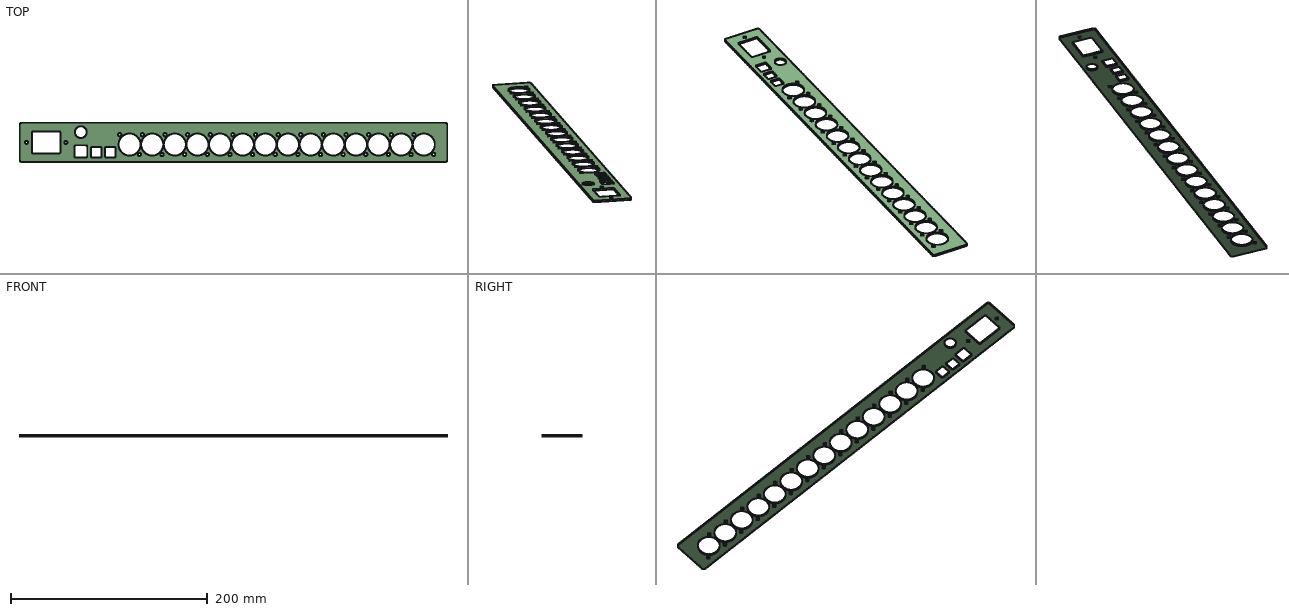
import cadquery as cq

plate_length = 435.0
plate_width = 40.0
plate_thickness = 2.0
corner_radius = 2.0
opening_radius = corner_radius / 2
left_edge = -plate_length / 2

connector_count = 14
connector_diameter = 22.0
connector_row_length = 299.3
connector_pitch = connector_row_length / (connector_count - 1)
first_connector_x = left_edge + 112.0
connector_y = -2.0
connector_screw_diameter = 3.2
connector_screw_offset = 10.0

inlet_x = left_edge + 27.0
inlet_length = 28.5
inlet_width = 22.0
inlet_screw_diameter = 3.0
inlet_screw_spacing = 40.0

round_hole_x = left_edge + 62.0
round_hole_y = 10.5
round_hole_diameter = 11.7
port_bottom_y = -15.2
large_port_x = round_hole_x
large_port_length = 12.5
large_port_width = 12.0
small_port_size = 10.5
small_port_xs = (left_edge + 78.0, left_edge + 92.2)


def round_cutter(points, diameter):
    """Cylinders through the plate at the given points."""
    return cq.Workplane("XY").pushPoints(points).circle(diameter / 2).extrude(plate_thickness)


def rectangle_cutter(x, y, length, width):
    """Block with rounded upright edges through the plate, centred on (x, y)."""
    block = cq.Workplane("XY").center(x, y).rect(length, width).extrude(plate_thickness)
    return block.edges("|Z").fillet(opening_radius)


def port_cutter(x, length, width):
    """Port opening standing on the shared lower edge."""
    return rectangle_cutter(x, port_bottom_y + width / 2, length, width)


plate = cq.Workplane("XY").box(
    plate_length, plate_width, plate_thickness, centered=(True, True, False)
)
plate = plate.edges("|Z").fillet(corner_radius)

connector_centers = [
    (first_connector_x + index * connector_pitch, connector_y) for index in range(connector_count)
]
connector_screws = [
    (x + side * connector_screw_offset, y - side * connector_screw_offset)
    for x, y in connector_centers
    for side in (-1, 1)
]
plate = plate.cut(round_cutter(connector_centers, connector_diameter))
plate = plate.cut(round_cutter(connector_screws, connector_screw_diameter))

inlet_screws = [(inlet_x + side * inlet_screw_spacing / 2, 0) for side in (-1, 1)]
plate = plate.cut(rectangle_cutter(inlet_x, 0, inlet_length, inlet_width))
plate = plate.cut(round_cutter(inlet_screws, inlet_screw_diameter))

plate = plate.cut(round_cutter([(round_hole_x, round_hole_y)], round_hole_diameter))
plate = plate.cut(port_cutter(large_port_x, large_port_length, large_port_width))
for port_x in small_port_xs:
    plate = plate.cut(port_cutter(port_x, small_port_size, small_port_size))

result = plate